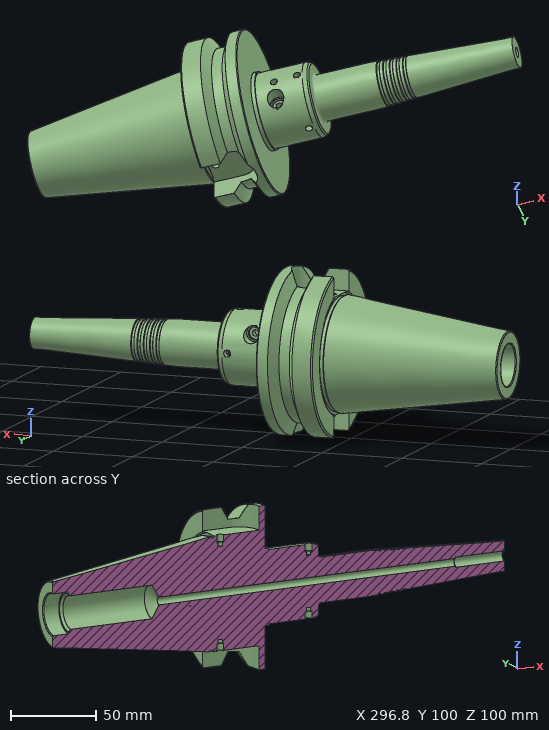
import cadquery as cq
import math

total_length = 296.8

gauge_x = 101.8
gauge_radius = 35.0
taper_slope = 7 / 24 / 2
taper_small_radius = gauge_radius - gauge_x * taper_slope
taper_chamfer = 0.5

flange_start = 104.8
flange_end = 139.8
flange_radius = 100.0 / 2
front_chamfer = 1.0
rear_chamfer = 0.5
groove_floor_radius = 42.5
groove_floor_start = 121.7
groove_floor_end = 128.2
groove_flank_angle = 30
groove_flank = (flange_radius - groove_floor_radius) * math.tan(math.radians(groove_flank_angle))

relief_start = 103.0
relief_end = 105.7
relief_depth = 0.5
relief_outer_radius = 37.0
relief_bevel = relief_end - flange_start

slot_width = 25.8
slot_floor = 35.3
slot_end = 135.3

collar_radius = 23.7
collar_end = 142.2
hub_radius = 23.0
hub_bevel_start = 171.3
hub_bevel_drop = 1.0
hub_end = 174.8
hub_chamfer = 1.0

shank_radius = 28.2 / 2
shank_fillet = 1.5
nose_start = 208.5
tip_radius = 19.0 / 2
tip_start = 291.5
nose_slope = (shank_radius - tip_radius) / (tip_start - nose_start)

ring_count = 5
ring_first = 214.0
ring_span = 16.0
ring_pitch = ring_span / (ring_count - 1)
ring_width = 2.0
ring_bevel = 0.3
ring_depth = 0.5

mouth_diameter = 25.2
mouth_chamfer = 0.5
mouth_depth = 10.5
thread_diameter = 20.2
thread_chamfer = 1.5
thread_end = 65.3
through_diameter = 4.5
tool_diameter = 6.0
tool_depth = 32.0
bore_cone_slope = 30
bore_cone_drop = (thread_diameter - through_diameter) / 2
bore_cone_end = thread_end + bore_cone_drop * math.tan(math.radians(bore_cone_slope))

small_hole_diameter = 4.2
small_hole_drill = 2.5
small_hole_depth = 4.5
drill_extra = 2.5
slot_hole_x = 110.0
balance_hole_x = 168.0
hub_hole_x = 153.7
side_hole_angle = 183

cross_hole_offset = 11.5
cross_hole_steps = ((9.8, 14.8), (7.7, 13.0), (4.0, 9.0))


def outer_body():
    profile = (
        cq.Workplane("XY")
        .lineTo(0, taper_small_radius - taper_chamfer)
        .lineTo(taper_chamfer, taper_small_radius + taper_chamfer * taper_slope)
        .lineTo(gauge_x, gauge_radius)
        .lineTo(relief_start, gauge_radius)
        .lineTo(relief_start + relief_depth, gauge_radius - relief_depth)
        .lineTo(relief_end, gauge_radius - relief_depth)
        .lineTo(relief_end, relief_outer_radius - relief_bevel)
        .lineTo(flange_start, relief_outer_radius)
        .lineTo(flange_start, flange_radius - front_chamfer)
        .lineTo(flange_start + front_chamfer, flange_radius)
        .lineTo(groove_floor_start - groove_flank, flange_radius)
        .lineTo(groove_floor_start, groove_floor_radius)
        .lineTo(groove_floor_end, groove_floor_radius)
        .lineTo(groove_floor_end + groove_flank, flange_radius)
        .lineTo(flange_end - rear_chamfer, flange_radius)
        .lineTo(flange_end, flange_radius - rear_chamfer)
        .lineTo(flange_end, collar_radius)
        .lineTo(collar_end, collar_radius)
        .lineTo(collar_end, hub_radius)
        .lineTo(hub_bevel_start, hub_radius)
        .lineTo(hub_end - hub_chamfer, hub_radius - hub_bevel_drop)
        .lineTo(hub_end, hub_radius - hub_bevel_drop - hub_chamfer)
        .lineTo(hub_end, shank_radius + shank_fillet)
        .radiusArc((hub_end + shank_fillet, shank_radius), -shank_fillet)
        .lineTo(nose_start, shank_radius)
        .lineTo(tip_start, tip_radius)
        .lineTo(total_length, tip_radius)
        .lineTo(total_length, 0)
        .close()
    )
    return profile.revolve(360, (0, 0, 0), (1, 0, 0))


def ring_grooves():
    rings = cq.Workplane("XY")
    for index in range(ring_count):
        start = ring_first + index * ring_pitch
        end = start + ring_width
        start_radius = shank_radius - (start - nose_start) * nose_slope
        end_radius = start_radius - ring_width * nose_slope
        floor_radius = start_radius - ring_depth
        ring = (
            cq.Workplane("XY")
            .moveTo(start, start_radius)
            .lineTo(start + ring_bevel, floor_radius)
            .lineTo(end - ring_bevel, floor_radius)
            .lineTo(end, end_radius)
            .lineTo(end, shank_radius)
            .lineTo(start, shank_radius)
            .close()
            .revolve(360, (0, 0, 0), (1, 0, 0))
        )
        rings = rings.add(ring)
    return rings.combine()


def axial_bore():
    profile = (
        cq.Workplane("XY")
        .lineTo(0, mouth_diameter / 2 + mouth_chamfer)
        .lineTo(mouth_chamfer, mouth_diameter / 2)
        .lineTo(mouth_depth, mouth_diameter / 2)
        .lineTo(mouth_depth, thread_diameter / 2 + thread_chamfer)
        .lineTo(mouth_depth + thread_chamfer, thread_diameter / 2)
        .lineTo(thread_end, thread_diameter / 2)
        .lineTo(bore_cone_end, through_diameter / 2)
        .lineTo(total_length - tool_depth, through_diameter / 2)
        .lineTo(total_length - tool_depth, tool_diameter / 2)
        .lineTo(total_length, tool_diameter / 2)
        .lineTo(total_length, 0)
        .close()
    )
    return profile.revolve(360, (0, 0, 0), (1, 0, 0))


def drive_slot():
    slot_radius = slot_width / 2
    arc_centre = slot_end - slot_radius
    return (
        cq.Workplane("XY")
        .workplane(offset=slot_floor)
        .moveTo(gauge_x, -slot_radius)
        .lineTo(arc_centre, -slot_radius)
        .threePointArc((slot_end, 0), (arc_centre, slot_radius))
        .lineTo(gauge_x, slot_radius)
        .close()
        .extrude(flange_radius)
    )


def radial_hole(x, surface_radius, angle, diameter, depth):
    """Round hole towards the axis, reaching the given depth below the surface."""
    direction = cq.Vector(0, math.cos(math.radians(angle)), math.sin(math.radians(angle)))
    bottom = cq.Vector(x, 0, 0) + direction * (surface_radius - depth)
    return cq.Solid.makeCylinder(diameter / 2, 2 * depth, bottom, direction)


def small_hole(x, surface_radius, angle):
    wide = radial_hole(x, surface_radius, angle, small_hole_diameter, small_hole_depth)
    narrow = radial_hole(x, surface_radius, angle, small_hole_drill, small_hole_depth + drill_extra)
    return wide.fuse(narrow)


def cross_hole():
    hole = cq.Workplane("XY")
    for diameter, floor_y in cross_hole_steps:
        bottom = cq.Vector(hub_hole_x, floor_y, cross_hole_offset)
        step = cq.Solid.makeCylinder(diameter / 2, hub_radius - floor_y, bottom, cq.Vector(0, 1, 0))
        hole = hole.add(step)
    return hole.combine()


result = outer_body().cut(ring_grooves()).cut(axial_bore())

upper_slot = drive_slot()
result = result.cut(upper_slot).cut(upper_slot.mirror("XY"))

for angle in (90, 270):
    result = result.cut(small_hole(slot_hole_x, slot_floor, angle))

for angle in (0, 90, 180, 270):
    result = result.cut(small_hole(balance_hole_x, hub_radius, angle))

result = result.cut(small_hole(hub_hole_x, hub_radius, side_hole_angle))

upper_cross_hole = cross_hole()
lower_cross_hole = upper_cross_hole.rotate((0, 0, 0), (1, 0, 0), 180)
result = result.cut(upper_cross_hole).cut(lower_cross_hole)